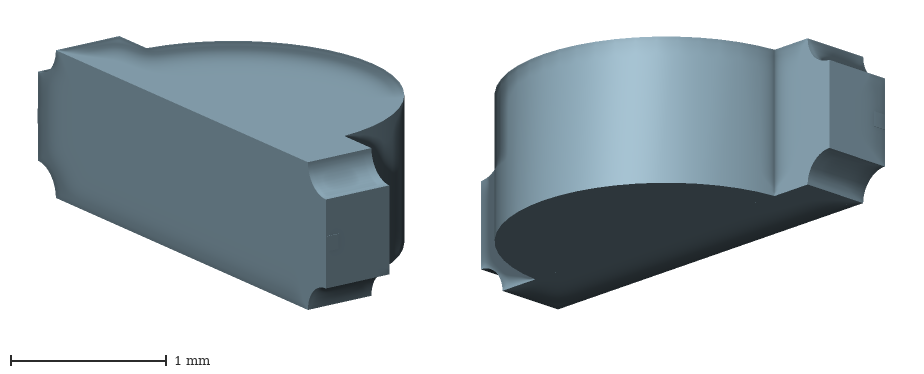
import cadquery as cq
import math


OVERALL_LENGTH = 3.2
TRACE_OVERHANG = 0.003
BOARD_DEPTH = 0.5
BOARD_HEIGHT = 1.0
LENS_RADIUS = 1.1
LENS_RISE = 1.0
CORNER_RADIUS = 0.2
PLATING_THICKNESS = 0.095
TRACE_DEPTH = 0.1
EDGE_GAP = 0.03
SMALL_RADIUS = 0.02
UPPER_GAP_RADIUS = 0.025

STRIP_HALF_WIDTH = 0.102
LOWER_PAD_INNER = 0.163
ARM_SLOT_END = 0.31
BARE_BLOCK_INNER = 0.333
ARM_END = 0.38
NOTCH_OUTER = 0.47
LOWER_PAD_OUTER = 0.637
STEM_INNER = 0.7
STEM_OUTER = 1.027
UPPER_PAD_INNER = 1.075
BARE_BLOCK_OUTER = 1.085

ARM_HALF_HEIGHT = 0.05
ARM_SLOT_HALF_HEIGHT = 0.102
BARE_BLOCK_TOP = -0.2

UPPER_GAP_START = 0.285

HALF_LENGTH = OVERALL_LENGTH / 2 - TRACE_OVERHANG
HALF_HEIGHT = BOARD_HEIGHT / 2
PLATING_RADIUS = CORNER_RADIUS + PLATING_THICKNESS
LENS_CENTER_Y = BOARD_DEPTH + LENS_RISE - LENS_RADIUS
LENS_HALF_CHORD = math.sqrt(LENS_RADIUS**2 - (BOARD_DEPTH - LENS_CENTER_Y) ** 2)
SIDES = (-1, 1)


def block(side, x_range, z_range, depth=TRACE_DEPTH):
    """Box from the mounting face inward; x_range is measured outward from X = 0 on the given side."""
    (x_in, x_out), (z_low, z_high) = x_range, z_range
    return (
        cq.Workplane("XY")
        .box(x_out - x_in, depth, z_high - z_low)
        .translate((side * (x_in + x_out) / 2, depth / 2, (z_low + z_high) / 2))
    )


def corner_rod(side, level, radius):
    """Round bar along Y centred on one board corner."""
    return (
        cq.Workplane("XZ", origin=(side * HALF_LENGTH, 0, level * HALF_HEIGHT))
        .circle(radius)
        .extrude(-BOARD_DEPTH)
    )


def round_edge(body, x, z, radius=SMALL_RADIUS):
    """Round the edge along Y nearest to the point (x, z)."""
    return body.edges("|Y").edges(cq.NearestToPointSelector((x, TRACE_DEPTH / 2, z))).fillet(radius)


def corner_plating(side, level):
    """Full-depth metal ring segment that lines one corner notch."""
    envelope = block(side, (0, HALF_LENGTH), (-HALF_HEIGHT, HALF_HEIGHT), BOARD_DEPTH)
    return (
        corner_rod(side, level, PLATING_RADIUS)
        .cut(corner_rod(side, level, CORNER_RADIUS))
        .intersect(envelope)
    )


def make_lens():
    return (
        cq.Workplane("XY", origin=(0, 0, -HALF_HEIGHT))
        .moveTo(-LENS_HALF_CHORD, BOARD_DEPTH)
        .threePointArc((0, BOARD_DEPTH + LENS_RISE), (LENS_HALF_CHORD, BOARD_DEPTH))
        .close()
        .extrude(BOARD_HEIGHT)
    )


def make_center_strip():
    return block(1, (-STRIP_HALF_WIDTH, STRIP_HALF_WIDTH), (-HALF_HEIGHT, HALF_HEIGHT))


def make_t_trace(side):
    arm = block(side, (ARM_END, HALF_LENGTH + TRACE_OVERHANG), (-ARM_HALF_HEIGHT, ARM_HALF_HEIGHT))
    stem = block(side, (STEM_INNER, STEM_OUTER), (-ARM_HALF_HEIGHT, HALF_HEIGHT))
    return arm.union(stem)


def make_upper_pad(side):
    gap_z = HALF_HEIGHT - EDGE_GAP
    gap_x = HALF_LENGTH - UPPER_GAP_START
    pad = block(side, (UPPER_PAD_INNER, HALF_LENGTH), (ARM_SLOT_HALF_HEIGHT, HALF_HEIGHT))
    top_gap = block(side, (UPPER_PAD_INNER, gap_x), (gap_z, HALF_HEIGHT))
    top_gap = round_edge(top_gap, side * gap_x, gap_z, UPPER_GAP_RADIUS)
    end_gap = block(
        side,
        (HALF_LENGTH - EDGE_GAP, HALF_LENGTH),
        (ARM_SLOT_HALF_HEIGHT, HALF_HEIGHT - UPPER_GAP_START),
    )
    plating = corner_plating(side, 1)
    return (
        pad.union(plating)
        .cut(corner_rod(side, 1, CORNER_RADIUS))
        .cut(top_gap)
        .cut(end_gap)
    )


def make_lower_pad(side):
    gap_z = -HALF_HEIGHT + EDGE_GAP
    gap_x = HALF_LENGTH - PLATING_RADIUS
    end_gap_x = HALF_LENGTH - EDGE_GAP
    foot = block(side, (LOWER_PAD_INNER, HALF_LENGTH), (-HALF_HEIGHT, -ARM_SLOT_HALF_HEIGHT))
    head = block(side, (LOWER_PAD_INNER, LOWER_PAD_OUTER), (-ARM_SLOT_HALF_HEIGHT, HALF_HEIGHT))
    pad = foot.union(head)
    pad = round_edge(pad, side * LOWER_PAD_INNER, HALF_HEIGHT)

    arm_slot = block(
        side, (ARM_SLOT_END, LOWER_PAD_OUTER), (-ARM_SLOT_HALF_HEIGHT, ARM_SLOT_HALF_HEIGHT)
    )
    for z in (-ARM_SLOT_HALF_HEIGHT, ARM_SLOT_HALF_HEIGHT):
        arm_slot = round_edge(arm_slot, side * ARM_SLOT_END, z)

    notch_z = HALF_HEIGHT - EDGE_GAP
    top_notch = block(side, (ARM_SLOT_END, NOTCH_OUTER), (notch_z, HALF_HEIGHT))
    for x in (ARM_SLOT_END, NOTCH_OUTER):
        top_notch = round_edge(top_notch, side * x, notch_z)

    bare_block = block(side, (BARE_BLOCK_INNER, BARE_BLOCK_OUTER), (-HALF_HEIGHT, BARE_BLOCK_TOP))
    for x in (BARE_BLOCK_INNER, BARE_BLOCK_OUTER):
        bare_block = round_edge(bare_block, side * x, BARE_BLOCK_TOP)

    bottom_gap = block(side, (BARE_BLOCK_OUTER, gap_x), (-HALF_HEIGHT, gap_z))
    bottom_gap = round_edge(bottom_gap, side * gap_x, gap_z)

    end_gap = block(
        side,
        (end_gap_x, HALF_LENGTH),
        (-HALF_HEIGHT + PLATING_RADIUS, -ARM_SLOT_HALF_HEIGHT),
    )

    for gap in (arm_slot, top_notch, bare_block, bottom_gap, end_gap):
        pad = pad.cut(gap)
    pad = round_edge(pad, side * end_gap_x, -ARM_SLOT_HALF_HEIGHT)
    return pad.union(corner_plating(side, -1)).cut(corner_rod(side, -1, CORNER_RADIUS))


def make_board(metal_bodies):
    board = block(1, (-HALF_LENGTH, HALF_LENGTH), (-HALF_HEIGHT, HALF_HEIGHT), BOARD_DEPTH)
    for side in SIDES:
        for level in SIDES:
            board = board.cut(corner_rod(side, level, CORNER_RADIUS))
    for body in metal_bodies:
        board = board.cut(body)
    return board


lens = make_lens()
center_strip = make_center_strip()
t_traces = [make_t_trace(side) for side in SIDES]
upper_pads = [make_upper_pad(side) for side in SIDES]
lower_pads = [make_lower_pad(side) for side in SIDES]
metal = [center_strip, *t_traces, *upper_pads, *lower_pads]
board = make_board(metal)

bodies = [board, lens, *metal]
result = cq.Compound.makeCompound([body.solids().val() for body in bodies])